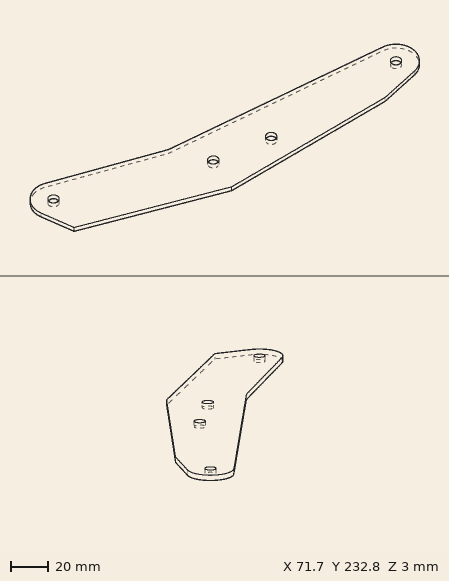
import cadquery as cq
import math

thickness = 3.0
hole_diameter = 6.0
end_radius = 12.5

lower_end = (0, 0)
upper_end = (-35.2, 207.8)
middle_holes = [(-4.5, 125.5), (1.6, 90.5)]

right_edge_x = 24.0
right_lower_corner = (right_edge_x, 3.0)
right_bend = (right_edge_x, 92.7)
right_upper_corner = (-11.2, 192.9)
left_bend = (-14.0, 70.5)


def tangent_point(corner, center, side):
    """Point where a line from corner touches an end circle.

    Side is +1 or -1: counterclockwise or clockwise from the center-to-corner direction.
    """
    dx = corner[0] - center[0]
    dy = corner[1] - center[1]
    spread = math.acos(end_radius / math.hypot(dx, dy))
    angle = math.atan2(dy, dx) + side * spread
    return (
        center[0] + end_radius * math.cos(angle),
        center[1] + end_radius * math.sin(angle),
    )


lower_arc_start = tangent_point(left_bend, lower_end, 1)
lower_arc_middle = (lower_end[0], lower_end[1] - end_radius)
lower_arc_end = tangent_point(right_lower_corner, lower_end, -1)
upper_arc_start = tangent_point(right_upper_corner, upper_end, 1)
upper_arc_middle = (upper_end[0], upper_end[1] + end_radius)
upper_arc_end = tangent_point(left_bend, upper_end, -1)

plate = (
    cq.Workplane("XY")
    .moveTo(*lower_arc_start)
    .threePointArc(lower_arc_middle, lower_arc_end)
    .lineTo(*right_lower_corner)
    .lineTo(*right_bend)
    .lineTo(*right_upper_corner)
    .lineTo(*upper_arc_start)
    .threePointArc(upper_arc_middle, upper_arc_end)
    .lineTo(*left_bend)
    .close()
    .extrude(thickness)
)

holes = (
    cq.Workplane("XY")
    .pushPoints([lower_end, upper_end] + middle_holes)
    .circle(hole_diameter / 2)
    .extrude(thickness)
)

result = plate.cut(holes)